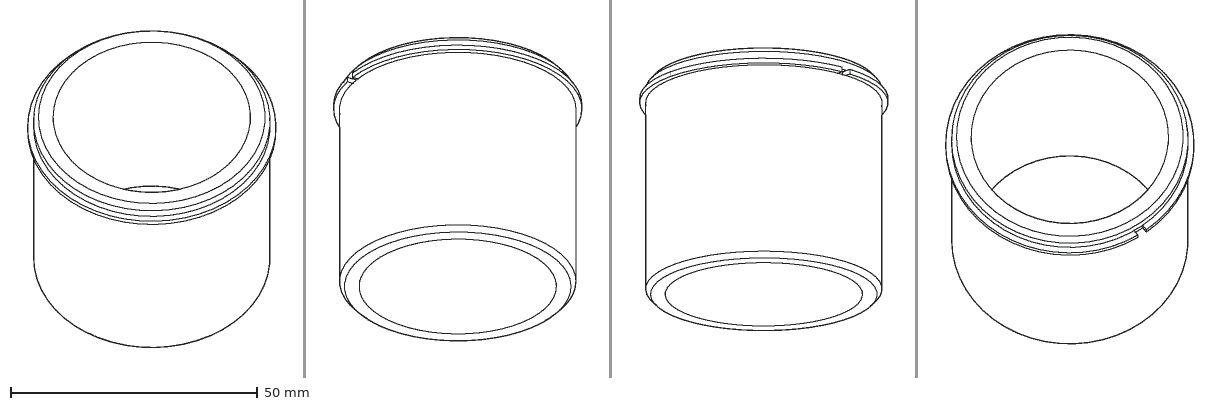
import cadquery as cq

sleeve_height = 45.0
sleeve_diameter = 47.95
bore_diameter = 40.0
chamfer_height = 1.1
chamfer_width = 1.0

ring_diameter = 50.4
ring_thickness = 1.0
ring_bottom = 41.0
ring_gap = 2.1
groove_diameter = 46.0
groove_height = 1.1

sleeve_radius = sleeve_diameter / 2
bore_radius = bore_diameter / 2


def tube(outer_diameter, inner_diameter, bottom, height):
    """Plain tube around Z."""
    return (
        cq.Workplane("XY")
        .workplane(offset=bottom)
        .circle(outer_diameter / 2)
        .circle(inner_diameter / 2)
        .extrude(height)
    )


def make_sleeve():
    """Bored sleeve with chamfered outer ends and a groove for the snap ring."""
    end_radius = sleeve_radius - chamfer_width
    profile = [
        (bore_radius, 0),
        (end_radius, 0),
        (sleeve_radius, chamfer_height),
        (sleeve_radius, sleeve_height - chamfer_height),
        (end_radius, sleeve_height),
        (bore_radius, sleeve_height),
    ]
    body = cq.Workplane("XZ").polyline(profile).close().revolve(360, (0, 0, 0), (0, 1, 0))
    groove = tube(ring_diameter, groove_diameter, ring_bottom, groove_height)
    return body.cut(groove)


def make_snap_ring():
    """Flat ring seated on the groove floor, split on its +Y side."""
    ring = tube(ring_diameter, groove_diameter, ring_bottom, ring_thickness)
    split = (
        cq.Workplane("XY")
        .workplane(offset=ring_bottom)
        .center(0, ring_diameter / 2)
        .rect(ring_gap, ring_diameter)
        .extrude(ring_thickness)
    )
    return ring.cut(split)


sleeve = make_sleeve()
snap_ring = make_snap_ring()

result = cq.Compound.makeCompound([sleeve.val(), snap_ring.val()])